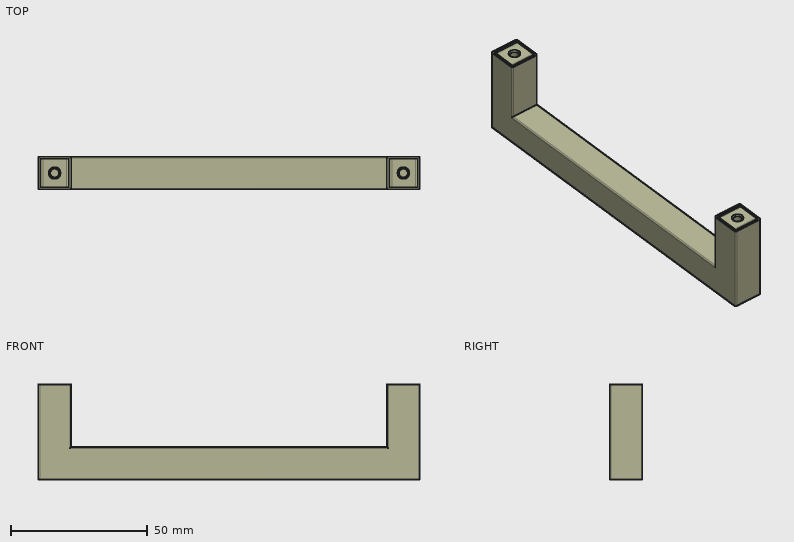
import cadquery as cq

LENGTH = 140.0
HEIGHT = 35.0
BAR = 12.0
EDGE_RADIUS = 0.49
WALL = 0.8
PLUG_RADIUS = 0.8
HOLE_DIAMETER = 3.2
HOLE_DEPTH = 9.8
HOLE_CHAMFER = 0.5

LEG_OFFSET = (LENGTH - BAR) / 2
LEG_CENTERS = (-LEG_OFFSET, LEG_OFFSET)
PLUG_SIDE = BAR - 2 * WALL
PLUG_DEPTH = BAR


def plug_block(x):
    """Square block filling the recess in the top of the leg centred at x."""
    return (
        cq.Workplane("XY", origin=(x, 0, HEIGHT - PLUG_DEPTH))
        .rect(PLUG_SIDE, PLUG_SIDE)
        .extrude(PLUG_DEPTH)
    )


def make_bar():
    """U-shaped square bar, rounded everywhere except at the leg ends and inside corners."""
    body = cq.Workplane("XY").box(LENGTH, BAR, HEIGHT, centered=(True, True, False))
    gap = (
        cq.Workplane("XY", origin=(0, 0, BAR))
        .rect(LENGTH - 2 * BAR, BAR)
        .extrude(HEIGHT - BAR)
    )
    leg_ends = cq.selectors.BoxSelector(
        (-LENGTH, -BAR, HEIGHT - EDGE_RADIUS), (LENGTH, BAR, HEIGHT + EDGE_RADIUS)
    )
    return (
        body.cut(gap)
        .faces("<Y or >Y or <Z")
        .edges(cq.selectors.InverseSelector(leg_ends))
        .fillet(EDGE_RADIUS)
    )


def make_handle():
    """Bar with a plug recess in the top of each leg."""
    body = make_bar()
    for x in LEG_CENTERS:
        body = body.cut(plug_block(x))
    return body


def make_plug(x):
    """End plug with two rounded top edges and a chamfered blind screw hole."""
    plug = plug_block(x).faces(">Z").edges("|Y").fillet(PLUG_RADIUS)
    plug = plug.faces(">Z").workplane(origin=(x, 0, HEIGHT)).hole(HOLE_DIAMETER, HOLE_DEPTH)
    return plug.faces(">Z").edges("%CIRCLE").chamfer(HOLE_CHAMFER)


handle = make_handle()
plugs = [make_plug(x) for x in LEG_CENTERS]

result = cq.Compound.makeCompound([handle.solids().val(), *[plug.solids().val() for plug in plugs]])